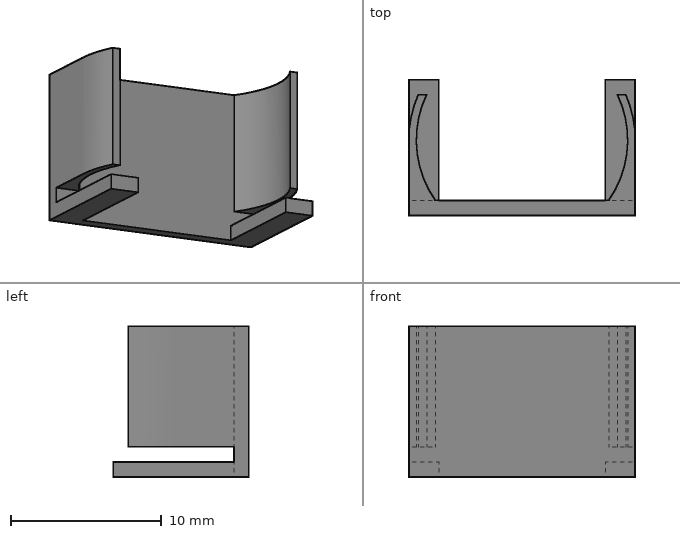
import cadquery as cq

width = 15.0
height = 10.0
wall = 1.0

foot_width = 2.0
foot_depth = 9.0

slot_height = 1.0
arm_depth = 8.0
arm_bottom = wall + slot_height
arm_height = height - arm_bottom

axis_y = 5.0
outer_radius = width / 2
arm_tip_thickness = 0.5
inner_radius = outer_radius - arm_tip_thickness


def block(x_size, y_size, z_size, z_bottom=0.0):
    """Box centred on X with its front face at Y = 0."""
    return (
        cq.Workplane("XY")
        .box(x_size, y_size, z_size, centered=(True, False, False))
        .translate((0, 0, z_bottom))
    )


def round_bar(radius):
    """Vertical cylinder about the clip axis, spanning the arm height."""
    return (
        cq.Workplane("XY", origin=(0, axis_y, arm_bottom))
        .circle(radius)
        .extrude(arm_height)
    )


def clip_arms():
    """Arms with straight sides up to the axis, then following the outer round to their tips."""
    straight_part = block(width, axis_y, arm_height, arm_bottom)
    envelope = block(width, arm_depth, arm_height, arm_bottom)
    curved_part = round_bar(outer_radius).intersect(envelope)
    return straight_part.union(curved_part).cut(round_bar(inner_radius))


def feet():
    """Two bars along the outer edges of the part."""
    inner_gap = block(width - 2 * foot_width, foot_depth, wall)
    return block(width, foot_depth, wall).cut(inner_gap)


front_plate = block(width, wall, height)
result = clip_arms().union(feet()).union(front_plate)